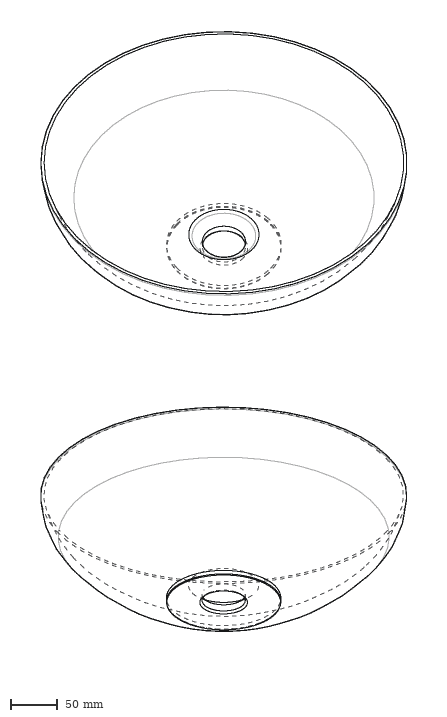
import cadquery as cq
import math

rim_radius = 195.0
height = 130.0

rim_band = 2.5
rim_width = 3.5

outer_sphere_radius = 229.5
outer_break_radius = 176.0
outer_break_height = 79.5

inner_sphere_radius = 246.0
inner_break_radius = 159.8
inner_break_height = 76.8

foot_radius = 122.0 / 2
foot_bevel_width = 0.5
foot_bevel_height = 1.0

bore_radius = 46.0 / 2
bore_height = 9.7
mouth_bevel = 2.5
seat_radius = 34.0
seat_height = 18.5
lip_radius = 37.5


def sphere_center_height(radius, point_radius, point_height):
    """Height of the center, on the Z axis, of a sphere through a point above its bottom."""
    return point_height + math.sqrt(radius**2 - point_radius**2)


def sphere_point(radius, center_height, point_radius):
    """Profile point on the lower half of a sphere centered on the Z axis."""
    return (point_radius, center_height - math.sqrt(radius**2 - point_radius**2))


outer_center = sphere_center_height(outer_sphere_radius, outer_break_radius, outer_break_height)
inner_center = sphere_center_height(inner_sphere_radius, inner_break_radius, inner_break_height)

foot_top = sphere_point(outer_sphere_radius, outer_center, foot_radius)
outer_middle = sphere_point(outer_sphere_radius, outer_center, (foot_radius + outer_break_radius) / 2)
outer_break = (outer_break_radius, outer_break_height)

lip = sphere_point(inner_sphere_radius, inner_center, lip_radius)
inner_middle = sphere_point(inner_sphere_radius, inner_center, (lip_radius + inner_break_radius) / 2)
inner_break = (inner_break_radius, inner_break_height)
inner_slope = (inner_break_height - inner_center, -inner_break_radius)

profile = (
    cq.Workplane("XZ")
    .moveTo(bore_radius, mouth_bevel)
    .lineTo(bore_radius + mouth_bevel, 0)
    .lineTo(foot_radius - foot_bevel_width, 0)
    .lineTo(foot_radius, foot_bevel_height)
    .lineTo(*foot_top)
    .threePointArc(outer_middle, outer_break)
    .tangentArcPoint((rim_radius, height - rim_band), relative=False)
    .lineTo(rim_radius, height)
    .lineTo(rim_radius - rim_width, height)
)
side_curve = cq.Edge.makeTangentArc(
    cq.Vector(inner_break[0], 0, inner_break[1]),
    cq.Vector(-inner_slope[0], 0, -inner_slope[1]),
    cq.Vector(rim_radius - rim_width, 0, height),
)
side_middle = side_curve.positionAt(0.5)
profile = (
    profile
    .threePointArc((side_middle.x, side_middle.z), inner_break)
    .threePointArc(inner_middle, lip)
    .lineTo(seat_radius, seat_height)
    .lineTo(bore_radius, bore_height)
    .close()
)

result = profile.revolve(360, (0, 0, 0), (0, 1, 0))